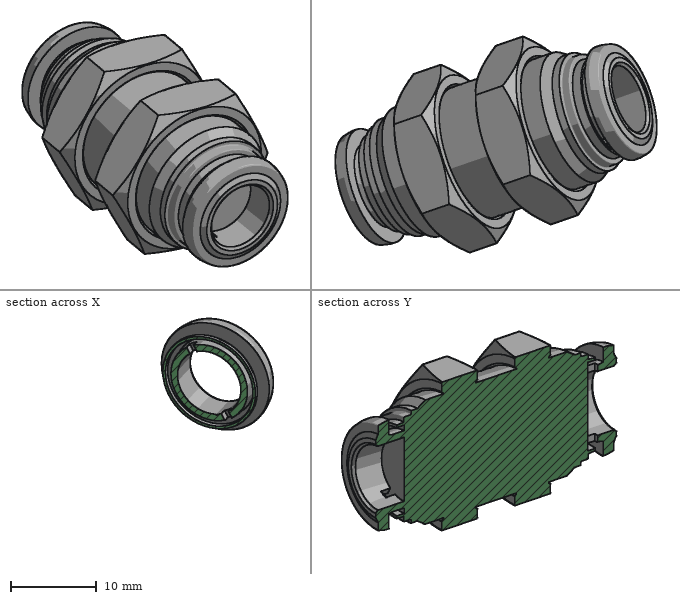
import cadquery as cq
import math

TOTAL_LENGTH = 36.6
HALF_LENGTH = TOTAL_LENGTH / 2

BARREL_RADIUS = 8.0
BARREL_START = 7.55
TAPER_START = 6.35
SHOULDER_RADIUS = 7.25
SHOULDER_START = 5.4
CAP_RADIUS = 6.75
CAP_START = 4.28
CAP_RIM_FILLET = 0.15
CAP_ROOT_FILLET = 0.17
GUIDE_START = 3.2
GUIDE_FRONT_RADIUS = 6.0
GUIDE_BACK_RADIUS = 6.1
GUIDE_BORE_RADIUS = 5.65

NECK_RADIUS = 5.0
NECK_FLARE_LENGTH = 0.43
NECK_FLARE_HEIGHT = 0.12
FLANGE_BACK = 2.07
FLANGE_RADIUS = 7.0
FLANGE_TAPER_DEPTH = 1.5
FLANGE_RIM_RADIUS = 6.77
FLANGE_RIM_FILLET = 0.25
FLANGE_FACE_DEPTH = 0.36
NOSE_BASE_RADIUS = 5.66
NOSE_RADIUS = 4.98

BORE_RADIUS = 4.08
BORE_DEPTH = 4.3
BORE_MOUTH_RADIUS = 4.4
BORE_MOUTH_DEPTH = 0.35
SLOT_WIDTH = 1.0
SLOT_START = 2.9
SLOT_LENGTH = BORE_DEPTH - SLOT_START
LEFT_COLLET_TURN = 0.0
RIGHT_COLLET_TURN = -30.0

NUT_SIDES = 6
NUT_ACROSS_FLATS = 19.0
NUT_WIDTH = 5.5
NUT_OUTER_DEPTH = 10.0
NUT_FACE_RADIUS = 9.4
NUT_CHAMFER_ANGLE = 30.0
NUT_BORE_CHAMFER = 0.3
LEFT_NUT_TURN = -5.0
RIGHT_NUT_TURN = -5.75

TOLERANCE = 1e-4


def revolve_about_x(points):
    """Solid of revolution about X from a closed (x, radius) outline."""
    return cq.Workplane("XY").polyline(points).close().revolve(360, (0, 0, 0), (1, 0, 0))


def outer_body():
    """Stepped body over its full length, without bores, slots or nuts."""
    end_steps = [
        (0, 0),
        (0, NOSE_RADIUS),
        (FLANGE_FACE_DEPTH, NOSE_BASE_RADIUS),
        (FLANGE_FACE_DEPTH, FLANGE_RIM_RADIUS),
        (FLANGE_TAPER_DEPTH, FLANGE_RADIUS),
        (FLANGE_BACK, FLANGE_RADIUS),
        (FLANGE_BACK, NECK_RADIUS + NECK_FLARE_HEIGHT),
        (FLANGE_BACK + NECK_FLARE_LENGTH, NECK_RADIUS),
        (BORE_DEPTH, NECK_RADIUS),
        (BORE_DEPTH, GUIDE_BORE_RADIUS),
        (GUIDE_START, GUIDE_BORE_RADIUS),
        (GUIDE_START, GUIDE_FRONT_RADIUS),
        (CAP_START, GUIDE_BACK_RADIUS),
        (CAP_START, CAP_RADIUS),
        (SHOULDER_START, CAP_RADIUS),
        (SHOULDER_START, SHOULDER_RADIUS),
        (TAPER_START, SHOULDER_RADIUS),
        (BARREL_START, BARREL_RADIUS),
    ]
    left_steps = [(depth - HALF_LENGTH, radius) for depth, radius in end_steps]
    right_steps = [(-x, radius) for x, radius in reversed(left_steps)]
    return revolve_about_x(left_steps + right_steps)


def fillet_rings(body, depth, radius, fillet_radius):
    """Round the circular edges of one depth and radius on both ends of the body."""
    def is_ring(edge):
        if edge.geomType() != "CIRCLE":
            return False
        edge_depth = HALF_LENGTH - abs(edge.Center().x)
        at_depth = abs(edge_depth - depth) < TOLERANCE
        return at_depth and abs(edge.radius() - radius) < TOLERANCE

    return body.edges().filter(is_ring).fillet(fillet_radius)


def rounded_body():
    """Outer body with its flange rims, cap rims and cap roots rounded."""
    body = outer_body()
    body = fillet_rings(body, FLANGE_FACE_DEPTH, FLANGE_RIM_RADIUS, FLANGE_RIM_FILLET)
    body = fillet_rings(body, CAP_START, CAP_RADIUS, CAP_RIM_FILLET)
    return fillet_rings(body, SHOULDER_START, CAP_RADIUS, CAP_ROOT_FILLET)


def bore_cutter():
    """Blind tube bore of the left end with its chamfered mouth."""
    outline = [
        (0, 0),
        (0, BORE_MOUTH_RADIUS),
        (BORE_MOUTH_DEPTH, BORE_RADIUS),
        (BORE_DEPTH, BORE_RADIUS),
        (BORE_DEPTH, 0),
    ]
    return revolve_about_x([(depth - HALF_LENGTH, radius) for depth, radius in outline])


def slot_cutter(turn):
    """Pair of opposite slots through the collet wall, turned about X."""
    bar = cq.Workplane("XY").box(SLOT_LENGTH, SLOT_WIDTH, 2 * BARREL_RADIUS)
    bar = bar.translate((SLOT_START + SLOT_LENGTH / 2 - HALF_LENGTH, 0, 0))
    wall = cq.Workplane("YZ").circle(NECK_RADIUS).extrude(HALF_LENGTH, both=True)
    return bar.intersect(wall).rotate((0, 0, 0), (1, 0, 0), turn)


def end_cutter(collet_turn):
    """Bore and collet slots of the left end."""
    return bore_cutter().union(slot_cutter(collet_turn))


def hex_nut(turn):
    """Solid hexagon with both faces chamfered, turned about X."""
    corner_radius = NUT_ACROSS_FLATS / 2 / math.cos(math.pi / NUT_SIDES)
    chamfer_depth = (corner_radius - NUT_FACE_RADIUS) * math.tan(math.radians(NUT_CHAMFER_ANGLE))
    hexagon = cq.Workplane("YZ").polygon(NUT_SIDES, 2 * corner_radius).extrude(NUT_WIDTH)
    envelope = revolve_about_x([
        (0, 0),
        (0, NUT_FACE_RADIUS),
        (chamfer_depth, corner_radius),
        (NUT_WIDTH - chamfer_depth, corner_radius),
        (NUT_WIDTH, NUT_FACE_RADIUS),
        (NUT_WIDTH, 0),
    ])
    return hexagon.intersect(envelope).rotate((0, 0, 0), (1, 0, 0), turn)


def nut_ring(start, turn):
    """Hexagon nut with a chamfered hole that fits the barrel."""
    mouth_radius = BARREL_RADIUS + NUT_BORE_CHAMFER
    hole = revolve_about_x([
        (0, 0),
        (0, mouth_radius),
        (NUT_BORE_CHAMFER, BARREL_RADIUS),
        (NUT_WIDTH - NUT_BORE_CHAMFER, BARREL_RADIUS),
        (NUT_WIDTH, mouth_radius),
        (NUT_WIDTH, 0),
    ])
    return hex_nut(turn).cut(hole).translate((start, 0, 0))


left_cutter = end_cutter(LEFT_COLLET_TURN)
right_cutter = end_cutter(-RIGHT_COLLET_TURN).rotate((0, 0, 0), (0, 0, 1), 180)
body = rounded_body().cut(left_cutter).cut(right_cutter)

left_nut = nut_ring(NUT_OUTER_DEPTH - HALF_LENGTH, LEFT_NUT_TURN)
right_nut = nut_ring(HALF_LENGTH - NUT_OUTER_DEPTH - NUT_WIDTH, RIGHT_NUT_TURN)

result = body.union(left_nut).union(right_nut)